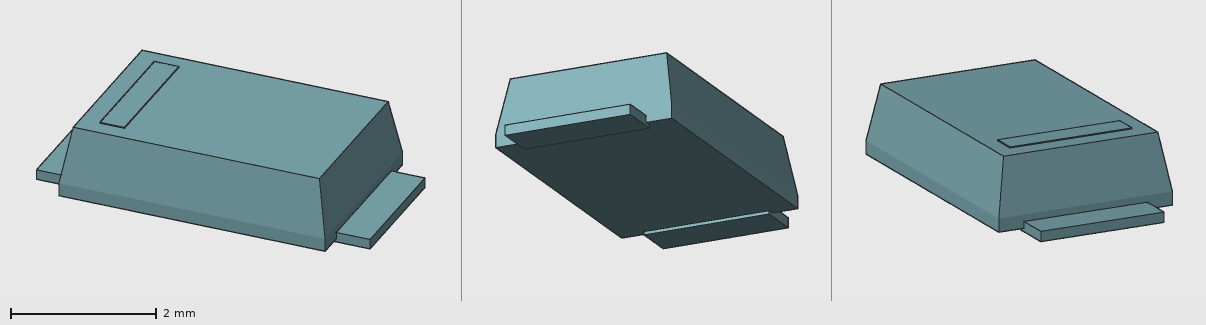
import cadquery as cq

overall_length = 5.0
overall_height = 1.1

housing_length = 3.99
housing_width = 2.69
housing_bottom = 0.05
parting_height = 0.245
taper_inset = 0.15
mark_thickness = 0.015
housing_top = overall_height - mark_thickness

lead_length = 0.61
lead_width = 1.91
lead_thickness = 0.15

mark_length = 0.37
mark_width = 1.89
mark_center_x = -1.37


def make_lead(side):
    """Flat lead at one end of the part; side is -1 or +1 along X."""
    center_x = side * (overall_length - lead_length) / 2
    return (
        cq.Workplane("XY")
        .center(center_x, 0)
        .rect(lead_length, lead_width)
        .extrude(lead_thickness)
    )


def make_housing(leads):
    """Base and tapered top in one solid, with a recess for each lead."""
    base = (
        cq.Workplane("XY")
        .workplane(offset=housing_bottom)
        .rect(housing_length, housing_width)
        .extrude(parting_height - housing_bottom)
    )
    tapered_top = (
        cq.Workplane("XY")
        .workplane(offset=parting_height)
        .rect(housing_length, housing_width)
        .workplane(offset=housing_top - parting_height)
        .rect(housing_length - 2 * taper_inset, housing_width - 2 * taper_inset)
        .loft(ruled=True)
    )
    housing = base.union(tapered_top)
    for lead in leads:
        housing = housing.cut(lead)
    return housing


def make_mark():
    """Thin polarity bar lying on the top face."""
    return (
        cq.Workplane("XY")
        .workplane(offset=housing_top)
        .center(mark_center_x, 0)
        .rect(mark_length, mark_width)
        .extrude(mark_thickness)
    )


leads = [make_lead(side) for side in (-1, 1)]
housing = make_housing(leads)
mark = make_mark()

result = cq.Compound.makeCompound([housing.val(), mark.val(), *[lead.val() for lead in leads]])